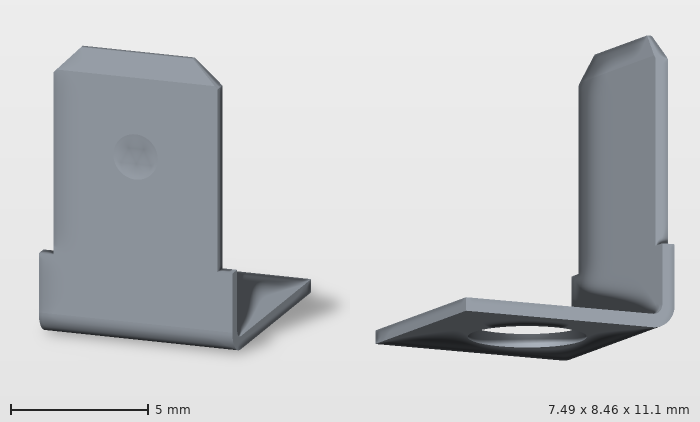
import cadquery as cq

base_width = 7.49
base_length = 8.46
part_height = 11.1
sheet_thickness = 0.5
bend_inner_radius = 0.39

tab_width = 6.35
shoulder_height = 3.14

tip_corner_cut = 1.01
tip_taper_height = 0.9
tip_thickness = 0.19

screw_hole_diameter = 4.34
screw_hole_from_front = 4.14

dimple_diameter = 1.72
dimple_depth = 0.1
dimple_height = 7.19

bend_outer_radius = bend_inner_radius + sheet_thickness
tip_setback = (sheet_thickness - tip_thickness) / 2
taper_start_height = part_height - tip_taper_height
corner_start_height = part_height - tip_corner_cut
tip_half_width = tab_width / 2 - tip_corner_cut
dimple_radius = ((dimple_diameter / 2) ** 2 + dimple_depth**2) / (2 * dimple_depth)


def bent_sheet():
    """L-shaped sheet at full width: flat base, rounded bend, upright with a tapered tip.

    The front face of the upright lies on Y = 0 and the underside of the base on Z = 0.
    """
    profile = (
        cq.Workplane("YZ")
        .moveTo(bend_outer_radius, 0)
        .lineTo(base_length, 0)
        .lineTo(base_length, sheet_thickness)
        .lineTo(bend_outer_radius, sheet_thickness)
        .radiusArc((sheet_thickness, bend_outer_radius), bend_inner_radius)
        .lineTo(sheet_thickness, taper_start_height)
        .lineTo(sheet_thickness - tip_setback, part_height)
        .lineTo(tip_setback, part_height)
        .lineTo(0, taper_start_height)
        .lineTo(0, bend_outer_radius)
        .radiusArc((bend_outer_radius, 0), -bend_outer_radius)
        .close()
    )
    return profile.extrude(base_width / 2, both=True)


def tab_outline():
    """Prism along Y with the wide foot, the shoulders and the cut tip corners of the tab."""
    outline = (
        cq.Workplane("XZ")
        .moveTo(0, 0)
        .lineTo(base_width / 2, 0)
        .lineTo(base_width / 2, shoulder_height)
        .lineTo(tab_width / 2, shoulder_height)
        .lineTo(tab_width / 2, corner_start_height)
        .lineTo(tip_half_width, part_height)
        .lineTo(0, part_height)
        .mirrorY()
    )
    return outline.extrude(-base_length)


def screw_hole():
    """Cylinder through the base."""
    return (
        cq.Workplane("XY")
        .center(0, screw_hole_from_front)
        .circle(screw_hole_diameter / 2)
        .extrude(sheet_thickness)
    )


def dimple():
    """Ball that sinks a shallow spherical dimple into the front face of the upright."""
    return (
        cq.Workplane("XY")
        .sphere(dimple_radius)
        .translate((0, dimple_depth - dimple_radius, dimple_height))
    )


result = bent_sheet().intersect(tab_outline()).cut(screw_hole()).cut(dimple())